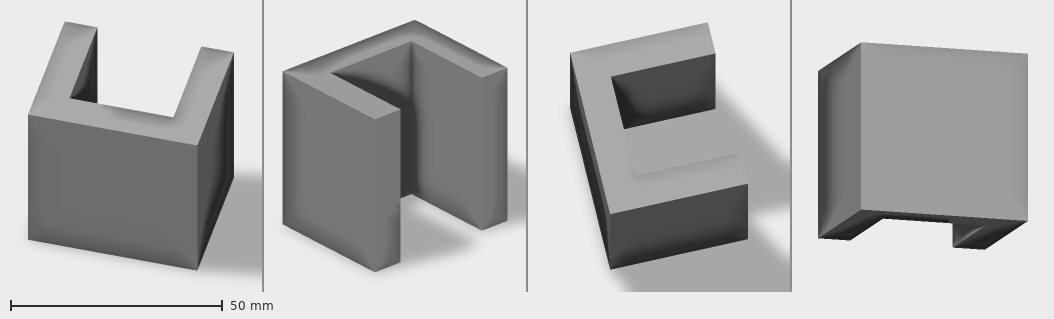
import cadquery as cq

wall = 8.0
slot_size = 25.4
height = 40.44

outer_width = slot_size + 2 * wall
outer_depth = slot_size + wall


def make_block():
    """Outer block, centred in X, with its back wall on Y = 0 and base on Z = 0."""
    return cq.Workplane("XY").box(outer_width, outer_depth, height, centered=(True, False, False))


def make_slot():
    """Square slot running the full height and open towards +Y."""
    slot = cq.Workplane("XY").box(slot_size, slot_size, height, centered=(True, False, False))
    return slot.translate((0, wall, 0))


result = make_block().cut(make_slot())